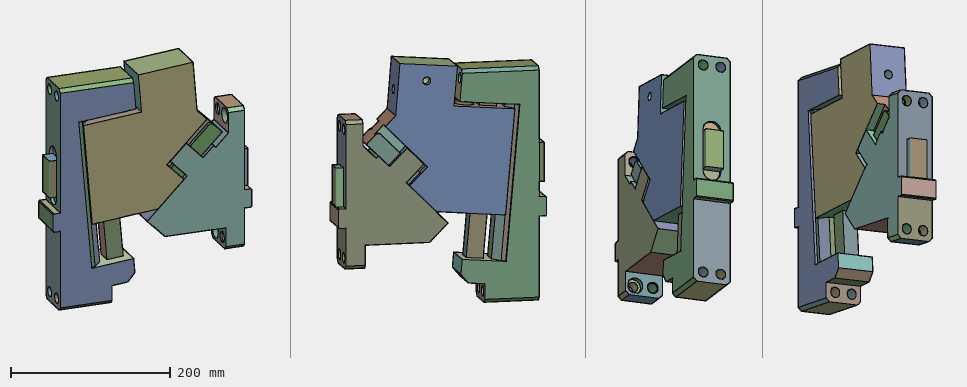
import cadquery as cq
import math


width = 50.0
through_length = 310.8
edge_chamfer = 4.7

tilt = math.radians(5)
frame_height = 299.5
frame_head_depth = 98.8
frame_foot_depth = 70.0
opening_corner = (25.0, 252.0)
opening_height = 200.8
upper_arm_length = 77.5
upper_arm_face = 35.0
lower_arm_length = 57.0
lower_arm_thickness = 29.8
lower_arm_chamfer = 10.5

clearance = 6.0
bar_start = 26.5
bar_end = 48.5
bar_width = 20.5
ridge_crest = 16.2
ridge_base_width = 43.0
ridge_crest_width = ridge_base_width - 2 * (ridge_crest - clearance)

base_face = 248.5
base_bottom = 50.0
base_top = 240.2
base_head_inner = 226.5
base_foot_inner = 223.5
base_underside = 80.2

seat_origin = (171.0, 158.2)
seat_angle = math.radians(45)
seat_lower_end = -76.0
seat_upper_end = 50.5
seat_relief = 4.0
seat_nose = 34.0
rail_length = 30.5
rail_gap = 0.47

block_foot_end = -55.0
block_foot_start = -6.0
block_hook_end = 70.5
block_hook_rise = 51.3
block_height = 141.7
block_front = 84.5
block_back = 158.8
block_rise = 45.0
head_width = 37.5
neck_width = 27.5
head_thickness = 21.5
neck_top = 32.5
head_fillet = 5.0
side_hole_diameter = 10.0
side_hole_depth = 9.3
side_hole_place = (144.5, 287.0)
drill_point_angle = 118
back_hole_diameter = 11.2
back_hole_height = 7.8
shelf_hole_diameter = 26.0
shelf_hole_place = 66.8
block_hole_depth = 18.5

hole_spacing = 24.0
hole_diameter = 13.0
hole_edge_distance = 13.0
small_counterbore_diameter = 14.3
small_counterbore_depth = 2.2
large_counterbore_diameter = 20.0
large_counterbore_depth = 7.8
outer_projection = 9.5
lip_chamfer = 1.2
key_fillet = 1.0
key_width = 24.0
key_height = 49.7
lip_height = 25.0
frame_key_bottom = 149.8
frame_lip_bottom = 108.0
base_lip_bottom = 103.2
key_slot_bottom = 135.8
key_slot_top = 213.5
key_slot_depth = 4.5


def tilted(back, up):
    """Point measured along the leaning axes from the upper inner corner of the opening."""
    y = opening_corner[0] + back * math.cos(tilt) - up * math.sin(tilt)
    z = opening_corner[1] + back * math.sin(tilt) + up * math.cos(tilt)
    return (y, z)


def on_seat(along, out):
    """Point measured along the sloping seat and outwards from it."""
    y = seat_origin[0] + along * math.cos(seat_angle) - out * math.sin(seat_angle)
    z = seat_origin[1] + along * math.sin(seat_angle) + out * math.cos(seat_angle)
    return (y, z)


def slab(points, thickness=width):
    """Extrude a (y, z) outline symmetrically about X = 0."""
    return cq.Workplane("YZ").polyline(points).close().extrude(thickness / 2, both=True)


def seat_bar(lower_end, upper_end, height, thickness):
    """Bar that lies on the seat between two positions along it."""
    return slab([
        on_seat(lower_end, 0),
        on_seat(upper_end, 0),
        on_seat(upper_end, height),
        on_seat(lower_end, height),
    ], thickness)


def cuboid(size_x, y_range, z_range):
    """Box centred on X = 0 between two Y values and two Z values."""
    size_y = y_range[1] - y_range[0]
    size_z = z_range[1] - z_range[0]
    corner = (-size_x / 2, y_range[0], z_range[0])
    return cq.Workplane("XY").box(size_x, size_y, size_z, centered=False).translate(corner)


def end_bevels(bottom, top):
    """Octagonal envelope that bevels the four long edges at the bottom and top."""
    return (
        cq.Workplane("XZ")
        .rect(width, top - bottom)
        .extrude(through_length, both=True)
        .edges("|Y")
        .chamfer(edge_chamfer)
        .translate((0, 0, (bottom + top) / 2))
    )


def cylinder_along_y(diameter, x, z, y_start, y_end):
    length = y_end - y_start
    start = cq.Vector(x, y_start, z)
    return cq.Workplane(cq.Solid.makeCylinder(diameter / 2, length, start, cq.Vector(0, 1, 0)))


def mounting_holes(bottom, top, y_start, y_end):
    holes = cq.Workplane()
    for z in (bottom + hole_edge_distance, top - hole_edge_distance):
        for x in (-hole_spacing / 2, hole_spacing / 2):
            holes = holes.add(cylinder_along_y(hole_diameter, x, z, y_start, y_end))
    return holes.combine()


def outer_key(y_range, z_bottom, outer_side):
    key = cuboid(key_width, y_range, (z_bottom, z_bottom + key_height))
    return key.faces(outer_side).edges("|Z").fillet(key_fillet)


def outer_lip(y_range, z_bottom, outer_side):
    lip = cuboid(width, y_range, (z_bottom, z_bottom + lip_height))
    return lip.faces(outer_side).edges("|X").chamfer(lip_chamfer)


def guides():
    """Guide bar and trapezoidal guide ridge that span the opening of the frame."""
    guide_plane = cq.Plane(
        origin=(0, *tilted(0, -opening_height)),
        xDir=(1, 0, 0),
        normal=(0, -math.sin(tilt), math.cos(tilt)),
    )
    bar = (
        cq.Workplane(guide_plane)
        .center(0, (bar_start + bar_end) / 2)
        .rect(bar_width, bar_end - bar_start)
        .extrude(opening_height)
    )
    half_base = ridge_base_width / 2
    half_crest = ridge_crest_width / 2
    ridge = (
        cq.Workplane(guide_plane)
        .polyline([
            (-half_base, 0),
            (half_base, 0),
            (half_base, clearance),
            (half_crest, ridge_crest),
            (-half_crest, ridge_crest),
            (-half_base, clearance),
        ])
        .close()
        .extrude(opening_height)
    )
    return bar.add(ridge).combine()


def make_frame():
    wall_bottom = -opening_height
    arm_bottom = wall_bottom - lower_arm_thickness
    arm_end = tilted(lower_arm_length - lower_arm_chamfer, arm_bottom)
    foot_z = arm_end[1] - (arm_end[0] - frame_foot_depth) * math.tan(tilt)
    frame = slab([
        (0, 0),
        (frame_foot_depth, 0),
        (frame_foot_depth, foot_z),
        arm_end,
        tilted(lower_arm_length, arm_bottom + lower_arm_chamfer),
        tilted(lower_arm_length, wall_bottom),
        tilted(0, wall_bottom),
        tilted(0, 0),
        tilted(upper_arm_length, 0),
        tilted(upper_arm_length, upper_arm_face),
        (frame_head_depth, frame_height),
        (0, frame_height),
    ])
    frame = frame.intersect(end_bevels(0, frame_height))

    key_slot = (
        cq.Workplane("XZ")
        .center(0, (key_slot_bottom + key_slot_top) / 2)
        .slot2D(key_slot_top - key_slot_bottom, key_width, 90)
        .extrude(-key_slot_depth)
    )
    frame = frame.cut(key_slot)
    frame = frame.union(outer_key((-outer_projection, key_slot_depth), frame_key_bottom, "<Y"))
    frame = frame.union(outer_lip((-outer_projection, 0), frame_lip_bottom, "<Y"))

    frame = frame.cut(mounting_holes(0, frame_height, 0, through_length))
    return frame.union(guides())


def blind_hole(diameter, place, axis):
    start = cq.Vector(0, *place)
    direction = cq.Vector(*axis)
    return cq.Workplane(cq.Solid.makeCylinder(diameter / 2, block_hole_depth, start, direction))


def make_block():
    block = slab([
        on_seat(block_foot_end, 0),
        on_seat(block_hook_end, 0),
        on_seat(block_hook_end, block_hook_rise),
        tilted(block_back, block_rise),
        tilted(block_front, block_rise),
        tilted(block_front, -clearance),
        tilted(clearance, -clearance),
        tilted(clearance, -block_height),
    ])

    head = seat_bar(block_foot_start, block_hook_end, head_thickness, head_width)
    head_corner = on_seat(block_hook_end, head_thickness)
    head = head.edges(cq.selectors.NearestToPointSelector((0, *head_corner))).fillet(head_fillet)
    neck = seat_bar(block_foot_start, block_hook_end, neck_top, neck_width)
    grooves = seat_bar(block_foot_start, block_hook_end, neck_top, width)
    block = block.cut(grooves).union(head).union(neck)

    radius = side_hole_diameter / 2
    point_depth = radius / math.tan(math.radians(drill_point_angle / 2))
    side_hole = (
        cq.Workplane("XY")
        .polyline([
            (-width / 2, 0),
            (-width / 2, radius),
            (-width / 2 + side_hole_depth, radius),
            (-width / 2 + side_hole_depth + point_depth, 0),
        ])
        .close()
        .revolve(360, (0, 0), (1, 0))
        .translate((0, *side_hole_place))
    )
    block = block.cut(side_hole)

    back_axis = (0, -math.cos(tilt), -math.sin(tilt))
    block = block.cut(blind_hole(back_hole_diameter, tilted(block_back, back_hole_height), back_axis))
    shelf_axis = (0, math.sin(tilt), -math.cos(tilt))
    block = block.cut(blind_hole(shelf_hole_diameter, tilted(shelf_hole_place, -clearance), shelf_axis))
    return block.cut(guides())


def relief_offset():
    """Difference y - z along the relieved slope above the seat."""
    y, z = on_seat(0, -seat_relief)
    return y - z


def rails():
    """Two rails that reach over the head of the breaker block on both sides of its neck."""
    rail_top = neck_top - rail_gap
    solid_rail = seat_bar(0, rail_length, rail_top, width)
    head_slot = seat_bar(0, rail_length, head_thickness, head_width)
    neck_slot = seat_bar(0, rail_length, rail_top, neck_width)
    return solid_rail.cut(head_slot).cut(neck_slot)


def make_base():
    base = slab([
        (base_face, base_bottom),
        (base_face, base_top),
        (base_head_inner, base_top),
        (base_head_inner, base_head_inner - relief_offset()),
        on_seat(seat_upper_end, -seat_relief),
        on_seat(seat_upper_end, 0),
        on_seat(seat_lower_end, 0),
        on_seat(seat_lower_end, -seat_nose),
        (base_foot_inner, base_underside),
        (base_foot_inner, base_bottom),
    ])
    base = base.intersect(end_bevels(base_bottom, base_top))
    outer_range = (base_face, base_face + outer_projection)
    base = base.union(outer_lip(outer_range, base_lip_bottom, ">Y"))
    base = base.union(outer_key(outer_range, base_lip_bottom + lip_height, ">Y"))
    base = base.union(rails())

    holes = mounting_holes(base_bottom, base_top, base_foot_inner, base_face)
    base = base.cut(holes)

    for z, leg_face, large_side in (
        (base_bottom + hole_edge_distance, base_foot_inner, -1),
        (base_top - hole_edge_distance, base_head_inner, 1),
    ):
        x = large_side * hole_spacing / 2
        large_floor = leg_face + large_counterbore_depth
        small_floor = leg_face + small_counterbore_depth
        base = base.cut(cylinder_along_y(large_counterbore_diameter, x, z, leg_face, large_floor))
        base = base.cut(cylinder_along_y(small_counterbore_diameter, -x, z, leg_face, small_floor))
    return base


frame = make_frame()
block = make_block()
base = make_base()

result = cq.Compound.makeCompound([frame.solids().val(), block.solids().val(), base.solids().val()])